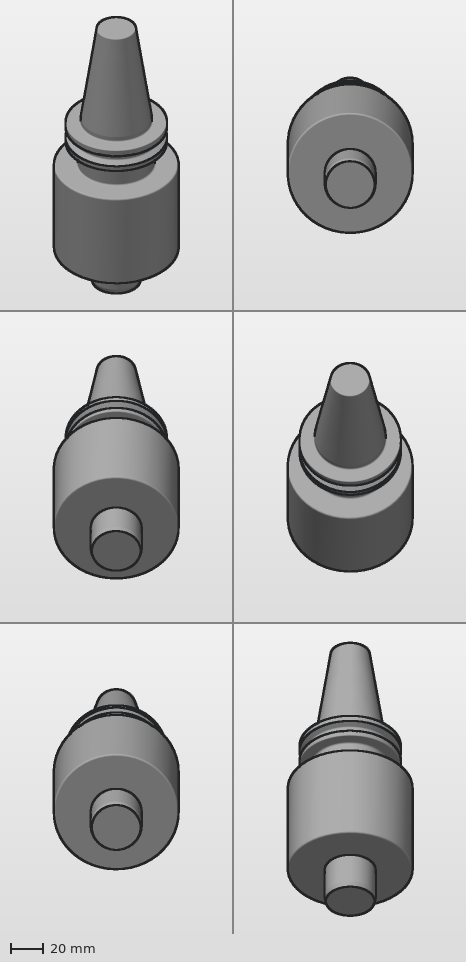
import cadquery as cq
import math

stub_radius = 32.0 / 2
body_radius = 78.0 / 2
neck_radius = 48.0 / 2
flange_radius = 63.5 / 2
groove_radius = 56.0 / 2
gauge_radius = 44.5 / 2

body_bottom = 24.2
body_top = 88.8
flange_bottom = 105.2
flange_top = 121.0
gauge_height = 124.4
total_height = 192.2

groove_center = 112.9
groove_floor_width = 3.3
flank_angle = 60.0
flank_height = (flange_radius - groove_radius) / math.tan(math.radians(flank_angle))
floor_bottom = groove_center - groove_floor_width / 2
floor_top = groove_center + groove_floor_width / 2

taper_ratio = 7 / 24
tip_radius = gauge_radius - taper_ratio * (total_height - gauge_height) / 2

stub_lead_length = 3.3
stub_lead_depth = 0.8
body_fillet = 1.2
neck_fillet = 1.2
tip_fillet = 0.5
flange_fillet = 0.5
groove_fillet = 1.0
shank_fillet = 1.0


def tangent_point(corner, toward, radius, half_angle):
    """Point on the side from corner to toward where a fillet of the given radius starts."""
    reach = radius / math.tan(half_angle)
    length = math.dist(corner, toward)
    return tuple(c + (t - c) * reach / length for c, t in zip(corner, toward))


def round_corner(outline, before, corner, after, radius):
    """Draw the outline to the corner and around it with a tangent arc."""
    turn = math.atan2(after[1] - corner[1], after[0] - corner[0])
    turn -= math.atan2(before[1] - corner[1], before[0] - corner[0])
    half_angle = math.acos(math.cos(turn)) / 2
    start = tangent_point(corner, before, radius, half_angle)
    end = tangent_point(corner, after, radius, half_angle)
    chord_middle = tuple((s + e) / 2 for s, e in zip(start, end))
    gap = radius / math.sin(half_angle) - radius
    middle = tangent_point(corner, chord_middle, gap, math.pi / 4)
    return outline.lineTo(*start).threePointArc(middle, end)


corners = [
    (0, 0, 0),
    (stub_radius - stub_lead_depth, 0, 0),
    (stub_radius, stub_lead_length, 0),
    (stub_radius, body_bottom, 0),
    (body_radius, body_bottom, body_fillet),
    (body_radius, body_top, body_fillet),
    (neck_radius, body_top, neck_fillet),
    (neck_radius, flange_bottom, neck_fillet),
    (flange_radius, flange_bottom, flange_fillet),
    (flange_radius, floor_bottom - flank_height, 0),
    (groove_radius, floor_bottom, groove_fillet),
    (groove_radius, floor_top, groove_fillet),
    (flange_radius, floor_top + flank_height, 0),
    (flange_radius, flange_top, flange_fillet),
    (gauge_radius, flange_top, shank_fillet),
    (gauge_radius, gauge_height, 0),
    (tip_radius, total_height, tip_fillet),
    (0, total_height, 0),
]

profile = cq.Workplane("XZ").moveTo(0, 0)
for before, corner, after in zip(corners, corners[1:], corners[2:] + corners[:1]):
    radius, height, fillet = corner
    if fillet:
        profile = round_corner(profile, before[:2], corner[:2], after[:2], fillet)
    else:
        profile = profile.lineTo(radius, height)

result = profile.close().revolve(360, (0, 0, 0), (0, 1, 0))